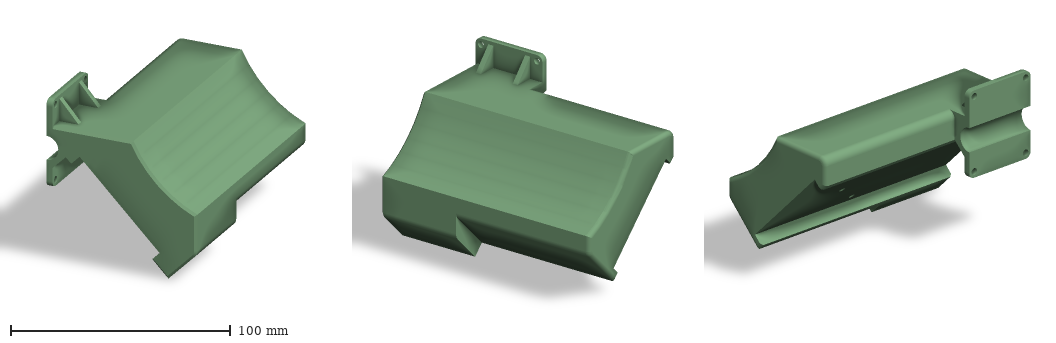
import cadquery as cq
import math

length = 117.9
body_left, body_right = 9.8, 75.6
body_top = 11.1
bend_x = 43.4
shoulder_z = -19.6
hollow_depth = 4.1
corner_radius = 4.0
end_radius = 2.1
front_chamfer = 1.2
pick_margin = 0.1

floor_level = 15.5
rim_level = 7.0
floor_upper_x, floor_lower_x = 16.7, 57.1
rim_side_depth = (floor_level - rim_level) / 2

front_wall_level = 115.0
rear_wall_level = 104.6
thick_wall_length = 42.5

plate_width, plate_thickness = 37.8, 3.2
plate_top, plate_bottom = 23.9, -19.5
plate_corner_radius = 3.1
plate_hole_diameter = 3.3
plate_hole_inset = 3.1
groove_radius = 6.0
neck_end_x = 18.9
gusset_z = -9.3

rib_thickness = 2.8
rib_centers_y = (8.6, 29.5)
rib_end_x, rib_top = 12.9, 22.2

floor_hole_diameter, floor_hole_depth = 3.2, 3.5
floor_holes = ((50.1, -5.8), (61.5, -37.8), (78.3, -25.9))


def extrude_along_y(outline, start, end):
    """Extrude a closed XZ outline from Y = start to Y = end."""
    return outline.extrude(start - end).translate((0, start, 0))


def box(x_range, y_range, z_range):
    sizes = [high - low for low, high in (x_range, y_range, z_range)]
    corner = (x_range[0], y_range[0], z_range[0])
    return cq.Workplane("XY").box(*sizes, centered=False).translate(corner)


def body_outline(wall_level):
    """Body section with its lower wall on the plane X - Z = wall_level."""
    run, rise = body_right - bend_x, shoulder_z - body_top
    chord = math.hypot(run, rise)
    hollow_x = (bend_x + body_right) / 2 + hollow_depth * rise / chord
    hollow_z = (body_top + shoulder_z) / 2 - hollow_depth * run / chord
    tip_x = (rim_level + wall_level) / 2
    return (
        cq.Workplane("XZ")
        .moveTo(body_left, body_top)
        .lineTo(bend_x, body_top)
        .threePointArc((hollow_x, hollow_z), (body_right, shoulder_z))
        .lineTo(body_right, body_right - wall_level)
        .lineTo(tip_x, rim_level - tip_x)
        .lineTo(body_left, rim_level - body_left)
        .close()
    )


def round_long_corners(section, wall_level):
    """Round the upper left corner and the corner below the right wall."""
    for x, z in ((body_left, body_top), (body_right, body_right - wall_level)):
        corner = cq.selectors.BoxSelector(
            (x - pick_margin, 0, z - pick_margin), (x + pick_margin, length, z + pick_margin)
        )
        section = section.edges("|Y").edges(corner).fillet(corner_radius)
    return section


def make_recess():
    """Channel with a 45 degree floor, running the full length of the body."""
    return extrude_along_y(
        cq.Workplane("XZ").polyline([
            (floor_upper_x, floor_level - floor_upper_x),
            (floor_lower_x, floor_level - floor_lower_x),
            (floor_lower_x - 2 * rim_side_depth, floor_level - floor_lower_x - 2 * rim_side_depth),
            (floor_upper_x - 2 * rim_side_depth, floor_level - floor_upper_x - 2 * rim_side_depth),
        ]).close(),
        0,
        length,
    )


def make_body():
    """Body with a thicker lower wall near the bracket and rounded far end."""
    front = extrude_along_y(body_outline(front_wall_level), 0, thick_wall_length)
    front = round_long_corners(front, front_wall_level)
    front = front.faces("<Y").edges().chamfer(front_chamfer).cut(make_recess())

    rear = extrude_along_y(body_outline(rear_wall_level), thick_wall_length, length)
    rear = round_long_corners(rear, rear_wall_level)
    rear = rear.faces(">Y").edges().fillet(end_radius).cut(make_recess())
    return front.union(rear)


def make_plate():
    """Mounting plate with rounded corners and a hole near each corner."""
    plate = box((0, plate_thickness), (0, plate_width), (plate_bottom, plate_top))
    plate = plate.edges("|X").fillet(plate_corner_radius)
    for y in (plate_hole_inset, plate_width - plate_hole_inset):
        for z in (plate_bottom + plate_hole_inset, plate_top - plate_hole_inset):
            hole = cq.Workplane("YZ").center(y, z).circle(plate_hole_diameter / 2)
            plate = plate.cut(hole.extrude(plate_thickness))
    return plate


def make_neck():
    """Solid joining the plate to the body, with a 45 degree gusset below."""
    rim_upper_x = floor_upper_x - rim_side_depth
    rim_upper_z = rim_level - rim_upper_x
    outline = cq.Workplane("XZ").polyline([
        (0, body_top - front_chamfer),
        (neck_end_x, body_top - front_chamfer),
        (neck_end_x, floor_level - floor_upper_x),
        (floor_upper_x, floor_level - floor_upper_x),
        (rim_upper_x, rim_upper_z),
        (body_left, rim_level - body_left),
        (plate_thickness, gusset_z),
        (0, gusset_z),
    ]).close()
    neck = extrude_along_y(outline, 0, plate_width)
    cap = box((0, neck_end_x), (0, plate_width), (0, body_top))
    cap = cap.faces("<Y").edges(">Z").chamfer(front_chamfer)
    return neck.union(cap)


def make_rib(center_y):
    """Triangular rib between the plate and the flat top."""
    outline = cq.Workplane("XZ").polyline([
        (plate_thickness, body_top),
        (rib_end_x, body_top),
        (plate_thickness, rib_top),
    ]).close()
    return extrude_along_y(outline, center_y - rib_thickness / 2, center_y + rib_thickness / 2)


def make_floor_hole(y, z):
    """Blind hole square to the sloping floor."""
    start = cq.Vector(floor_level - z, y, z)
    inward = cq.Vector(1, 0, 1)
    return cq.Workplane(
        cq.Solid.makeCylinder(floor_hole_diameter / 2, floor_hole_depth, start, inward)
    )


result = make_body().union(make_neck()).union(make_plate())
for rib_y in rib_centers_y:
    result = result.union(make_rib(rib_y))

groove = extrude_along_y(cq.Workplane("XZ").circle(groove_radius), 0, plate_width)
result = result.cut(groove)

for hole_y, hole_z in floor_holes:
    result = result.cut(make_floor_hole(hole_y, hole_z))